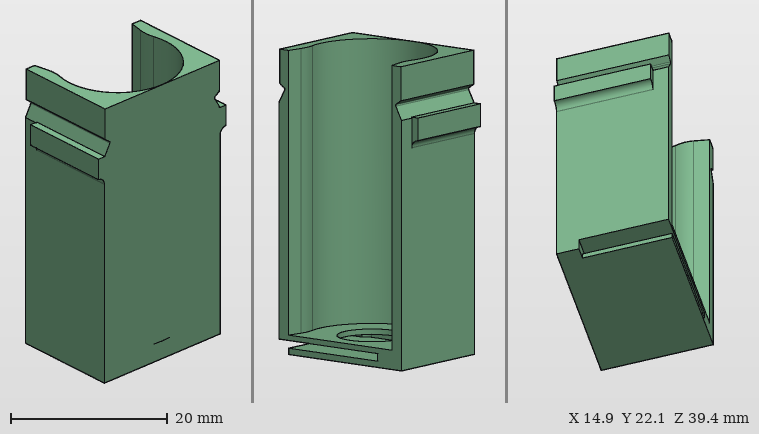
import cadquery as cq
import math

body_length = 14.9
body_width = 20.05
total_width = 22.05
height = 39.43
body_side = body_width / 2
rail_side = total_width / 2

base_thickness = 0.83
slot_height = 1.0
floor_thickness = 0.7
slot_top = base_thickness + slot_height
floor_top = slot_top + floor_thickness

bore_center_x = 6.5
bore_radius = 8.35
neck_x = 3.08
neck_radius = 5.52
flare_angle = math.radians(11)

slot_width = 12.15
slot_corner_radius = 1.1
slot_end_x = bore_center_x + slot_width / 2
window_radius = 4.45

notch_corner_share = 0.6
notch_depth = slot_end_x - notch_corner_share * slot_corner_radius

rail_start_x = 2.1
rail_top = 32.6
rail_bottom = 29.65
rail_overlap = 0.4
rail_hollow_radius = rail_side - body_side

groove_bottom = 32.5
groove_root = 34.4
groove_top = 35.0
groove_depth = 1.03
groove_root_radius = 0.2
upper_wall_inset = 0.1
upper_wall_side = body_side - upper_wall_inset

blend_distance = bore_radius + neck_radius
bore_exit_angle = math.asin((bore_center_x - neck_x) / blend_distance)
neck_center_y = blend_distance * math.cos(bore_exit_angle)
bore_end_x = bore_center_x - bore_radius * math.sin(bore_exit_angle)
bore_end_y = bore_radius * math.cos(bore_exit_angle)
neck_y = neck_center_y - neck_radius
flare_start_x = neck_x - neck_radius * math.sin(flare_angle)
flare_start_y = neck_center_y - neck_radius * math.cos(flare_angle)
mouth_y = flare_start_y + flare_start_x * math.tan(flare_angle)


def block(length, width, block_height):
    """Block with one corner at the origin."""
    return cq.Workplane("XY").box(length, width, block_height, centered=False)


def cavity():
    return (
        cq.Workplane("XY", origin=(0, 0, floor_top))
        .moveTo(0, -mouth_y)
        .lineTo(flare_start_x, -flare_start_y)
        .threePointArc((neck_x, -neck_y), (bore_end_x, -bore_end_y))
        .threePointArc((bore_center_x + bore_radius, 0), (bore_end_x, bore_end_y))
        .threePointArc((neck_x, neck_y), (flare_start_x, flare_start_y))
        .lineTo(0, mouth_y)
        .close()
        .extrude(height - floor_top)
    )


def groove_cut():
    """V groove with a rounded root on the +Y side, and the thin slice above it."""
    root_y = body_side - groove_depth
    return (
        cq.Workplane("YZ")
        .moveTo(body_side, groove_bottom)
        .lineTo(root_y, groove_root)
        .lineTo(upper_wall_side, groove_top)
        .lineTo(upper_wall_side, height)
        .lineTo(rail_side, height)
        .lineTo(rail_side, groove_bottom)
        .close()
        .extrude(body_length)
        .edges("|X and <Y")
        .fillet(groove_root_radius)
    )


def rail():
    """Rail on the +Y side, with a hollow quarter round under it."""
    inner_y = body_side - rail_overlap
    hollow_bottom = rail_bottom - rail_hollow_radius
    return (
        cq.Workplane("YZ", origin=(rail_start_x, 0, 0))
        .moveTo(inner_y, rail_top)
        .lineTo(rail_side, rail_top)
        .lineTo(rail_side, rail_bottom)
        .radiusArc((body_side, hollow_bottom), -rail_hollow_radius)
        .lineTo(inner_y, hollow_bottom)
        .close()
        .extrude(body_length - rail_start_x)
    )


def plate_slot():
    """Slot open to the -X face, with rounded far corners."""
    return (
        block(slot_end_x, slot_width, slot_height)
        .translate((0, -slot_width / 2, base_thickness))
        .edges("|Z and >X")
        .fillet(slot_corner_radius)
    )


def window():
    return (
        cq.Workplane("XY", origin=(bore_center_x, 0, slot_top))
        .circle(window_radius)
        .extrude(floor_thickness)
    )


def side_notch():
    """Opens the slot through +Y and removes the foot of the +Y wall there."""
    slot_mouth = block(notch_depth, body_side, slot_height).translate((0, 0, base_thickness))
    wall_foot = block(notch_depth, body_side - mouth_y, slot_top).translate((0, mouth_y, 0))
    return slot_mouth.union(wall_foot)


result = cq.Workplane("XY").box(body_length, body_width, height, centered=(False, True, False))
for side_groove in (groove_cut(), groove_cut().mirror("XZ")):
    result = result.cut(side_groove)
for side_rail in (rail(), rail().mirror("XZ")):
    result = result.union(side_rail)
for opening in (cavity(), plate_slot(), window(), side_notch()):
    result = result.cut(opening)